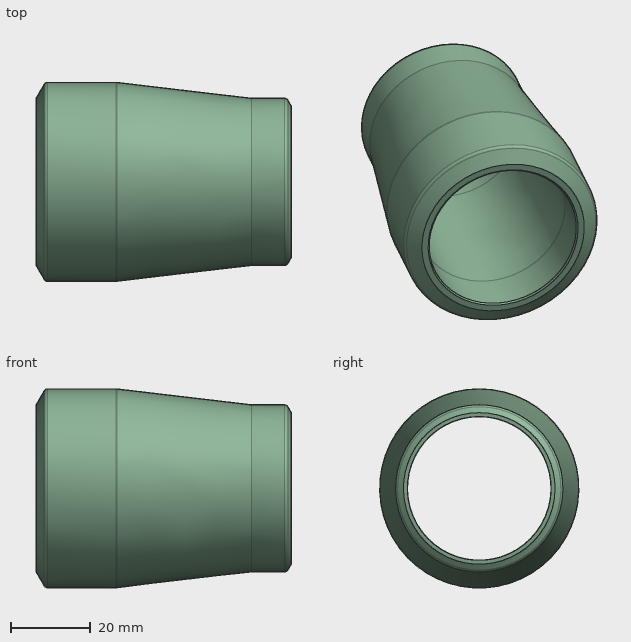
import cadquery as cq
import math

length = 64.0
large_radius = 50.0 / 2
small_radius = 42.0 / 2
large_bore_radius = 38.0 / 2
small_bore_radius = 36.0 / 2
cone_start = 20.1
cone_end = 54.0
bore_taper_start = 11.85

bevel_angle = math.radians(60)
blend_radius = 1.0
large_face_radius = 21.0
small_face_radius = 19.0
bore_chamfer = 0.4

shoulder_blend_radius = 2.0


def bevel_points(outer_radius, face_radius):
    """Return (depth from end face, radius) for the face, blend start, middle and end."""
    center_radius = outer_radius - blend_radius
    blend_start_radius = center_radius + blend_radius * math.cos(bevel_angle)
    blend_start = (blend_start_radius - face_radius) / math.tan(bevel_angle)
    blend_end = blend_start + blend_radius * math.sin(bevel_angle)
    middle = (
        blend_end - blend_radius * math.sin(bevel_angle / 2),
        center_radius + blend_radius * math.cos(bevel_angle / 2),
    )
    return (0, face_radius), (blend_start, blend_start_radius), middle, (blend_end, outer_radius)


large_bevel = bevel_points(large_radius, large_face_radius)
small_bevel = [
    (length - depth, radius)
    for depth, radius in bevel_points(small_radius, small_face_radius)
]

cone_angle = math.atan((large_radius - small_radius) / (cone_end - cone_start))
shoulder_start = cone_start - shoulder_blend_radius * math.tan(cone_angle / 2)


def shoulder_point(angle):
    """Return the point on the shoulder blend after turning by angle from the cylinder."""
    return (
        shoulder_start + shoulder_blend_radius * math.sin(angle),
        large_radius - shoulder_blend_radius * (1 - math.cos(angle)),
    )


wall_profile = (
    cq.Workplane("XZ")
    .moveTo(*large_bevel[0])
    .lineTo(*large_bevel[1])
    .threePointArc(large_bevel[2], large_bevel[3])
    .lineTo(shoulder_start, large_radius)
    .threePointArc(shoulder_point(cone_angle / 2), shoulder_point(cone_angle))
    .lineTo(cone_end, small_radius)
    .lineTo(*small_bevel[3])
    .threePointArc(small_bevel[2], small_bevel[1])
    .lineTo(*small_bevel[0])
    .lineTo(length, small_bore_radius)
    .lineTo(cone_end, small_bore_radius)
    .lineTo(bore_taper_start, large_bore_radius)
    .lineTo(bore_chamfer, large_bore_radius)
    .lineTo(0, large_bore_radius + bore_chamfer)
    .close()
)

result = wall_profile.revolve(360, (0, 0, 0), (1, 0, 0))